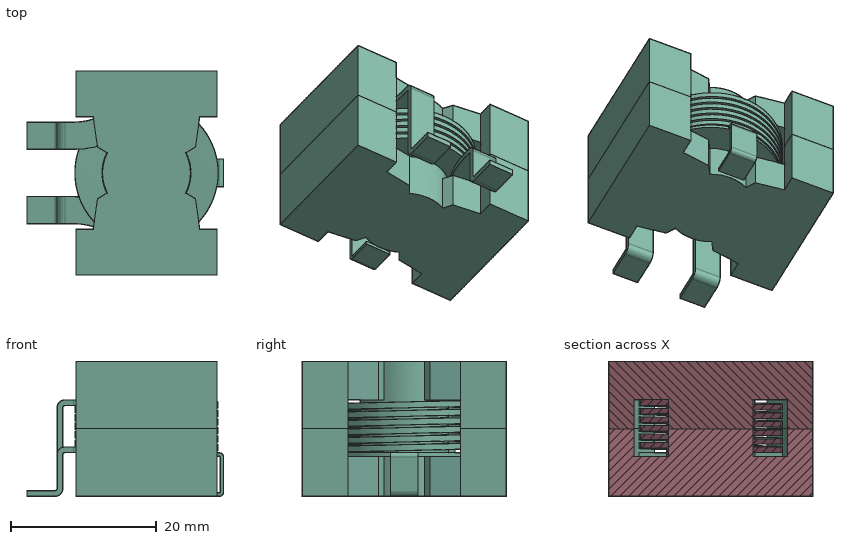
import cadquery as cq
import math


CORE_LENGTH_Y = 28.0
CORE_WIDTH_X = 19.38
CORE_HEIGHT = 18.5
SPLIT_Z = 9.3
LEG_INNER_Y = 7.7
POST_RADIUS = 12.1 / 2
PLATE_HALF_WIDTH = 7.3
PLATE_CORNER = (6.72, 3.55)
POST_CORNER_Y = 2.75
POST_CORNER_X = math.sqrt(POST_RADIUS**2 - POST_CORNER_Y**2)
POCKET_RADIUS = 10.65
WINDOW_BOTTOM_Z = 5.5
WINDOW_TOP_Z = 13.25

CLIP_THICKNESS = 0.5
CLIP_TAB_WIDTH = 3.85
CLIP_TAB_REACH_X = 10.58
CLIP_BEND_INNER_RADIUS = 0.1
CLIP_TOP_Z = WINDOW_BOTTOM_Z + CLIP_THICKNESS

WIRE_WIDTH = 3.75
WIRE_THICKNESS = 0.8
COIL_CLEARANCE = 0.03
COIL_INNER_RADIUS = POST_RADIUS + COIL_CLEARANCE
COIL_MEAN_RADIUS = COIL_INNER_RADIUS + WIRE_WIDTH / 2
COIL_TURNS = 5.5
COIL_BOTTOM_Z = CLIP_TOP_Z
COIL_TOP_Z = WINDOW_TOP_Z
COIL_RISE = COIL_TOP_Z - COIL_BOTTOM_Z - WIRE_THICKNESS

LEAD_OFFSET_Y = 5.1
LEAD_CURVE_START_X = -10.0
LEAD_UPRIGHT_X = -12.25
LEAD_TIP_X = -16.4
LEAD_BEND_INNER_RADIUS = 0.28
FOOT_LENGTH = LEAD_UPRIGHT_X - LEAD_TIP_X
LEAD_CURVE_RADIUS = (LEAD_CURVE_START_X**2 + LEAD_OFFSET_Y**2 - COIL_MEAN_RADIUS**2) / (
    2 * (COIL_MEAN_RADIUS - LEAD_OFFSET_Y)
)


def core_outline():
    """Core seen along Z: two wide legs joined by a waisted plate that ends on the centre post."""
    half_x = CORE_WIDTH_X / 2
    half_y = CORE_LENGTH_Y / 2
    corner_x, corner_y = PLATE_CORNER
    return (
        cq.Workplane("XY")
        .moveTo(-half_x, half_y)
        .lineTo(half_x, half_y)
        .lineTo(half_x, LEG_INNER_Y)
        .lineTo(PLATE_HALF_WIDTH, LEG_INNER_Y)
        .lineTo(corner_x, corner_y)
        .lineTo(POST_CORNER_X, POST_CORNER_Y)
        .threePointArc((POST_RADIUS, 0), (POST_CORNER_X, -POST_CORNER_Y))
        .lineTo(corner_x, -corner_y)
        .lineTo(PLATE_HALF_WIDTH, -LEG_INNER_Y)
        .lineTo(half_x, -LEG_INNER_Y)
        .lineTo(half_x, -half_y)
        .lineTo(-half_x, -half_y)
        .lineTo(-half_x, -LEG_INNER_Y)
        .lineTo(-PLATE_HALF_WIDTH, -LEG_INNER_Y)
        .lineTo(-corner_x, -corner_y)
        .lineTo(-POST_CORNER_X, -POST_CORNER_Y)
        .threePointArc((-POST_RADIUS, 0), (-POST_CORNER_X, POST_CORNER_Y))
        .lineTo(-corner_x, corner_y)
        .lineTo(-PLATE_HALF_WIDTH, LEG_INNER_Y)
        .lineTo(-half_x, LEG_INNER_Y)
        .close()
    )


def core_half(height, plate_thickness):
    """One core half standing on its plate, with the ring-shaped winding window cut around the post."""
    body = core_outline().extrude(height)
    window = (
        cq.Workplane("XY", origin=(0, 0, plate_thickness))
        .circle(POCKET_RADIUS)
        .circle(POST_RADIUS)
        .extrude(height - plate_thickness)
    )
    return body.cut(window)


def ring_sector(center, mean_radius, width, start_deg, end_deg, bottom_z, thickness):
    """Flat strip of the given width that follows an arc about the center point."""

    def polar(radius, angle_deg):
        angle = math.radians(angle_deg)
        return (center[0] + radius * math.cos(angle), center[1] + radius * math.sin(angle))

    inner = mean_radius - width / 2
    outer = mean_radius + width / 2
    middle_deg = (start_deg + end_deg) / 2
    return (
        cq.Workplane("XY", origin=(0, 0, bottom_z))
        .moveTo(*polar(outer, start_deg))
        .threePointArc(polar(outer, middle_deg), polar(outer, end_deg))
        .lineTo(*polar(inner, end_deg))
        .threePointArc(polar(inner, middle_deg), polar(inner, start_deg))
        .close()
        .extrude(thickness)
    )


def lead_straight(top_z):
    """Foot, upright and straight top of a lead, centred on Y = 0."""
    upright_inner_x = LEAD_UPRIGHT_X + WIRE_THICKNESS
    inner = LEAD_BEND_INNER_RADIUS
    outer = inner + WIRE_THICKNESS
    outline = (
        cq.Workplane("XZ", origin=(0, WIRE_WIDTH / 2, 0))
        .moveTo(LEAD_TIP_X, 0)
        .lineTo(upright_inner_x - outer, 0)
        .radiusArc((upright_inner_x, outer), -outer)
        .lineTo(upright_inner_x, top_z - outer)
        .radiusArc((upright_inner_x + inner, top_z - WIRE_THICKNESS), inner)
        .lineTo(LEAD_CURVE_START_X, top_z - WIRE_THICKNESS)
        .lineTo(LEAD_CURVE_START_X, top_z)
        .lineTo(LEAD_UPRIGHT_X + outer, top_z)
        .radiusArc((LEAD_UPRIGHT_X, top_z - outer), -outer)
        .lineTo(LEAD_UPRIGHT_X, outer)
        .radiusArc((LEAD_UPRIGHT_X - inner, WIRE_THICKNESS), inner)
        .lineTo(LEAD_TIP_X, WIRE_THICKNESS)
        .close()
    )
    return outline.extrude(WIRE_WIDTH)


def lead(top_z):
    """Lead on the +Y side, from its foot along an S-curve to the coil turn at X = 0."""
    bottom_z = top_z - WIRE_THICKNESS
    curve_center = (LEAD_CURVE_START_X, LEAD_OFFSET_Y + LEAD_CURVE_RADIUS)
    meeting_deg = math.degrees(math.atan2(curve_center[1], curve_center[0]))
    straight = lead_straight(top_z).translate((0, LEAD_OFFSET_Y, 0))
    curve = ring_sector(
        curve_center, LEAD_CURVE_RADIUS, WIRE_WIDTH, -90, meeting_deg - 180, bottom_z, WIRE_THICKNESS
    )
    flat_turn = ring_sector((0, 0), COIL_MEAN_RADIUS, WIRE_WIDTH, 90, meeting_deg, bottom_z, WIRE_THICKNESS)
    return straight.union(curve).union(flat_turn)


def coil():
    """Right-handed flat-wire winding from the -Y side up to the +Y side, with both leads."""
    helix = cq.Wire.makeHelix(COIL_RISE / COIL_TURNS, COIL_RISE, COIL_MEAN_RADIUS)
    winding = (
        cq.Workplane("XZ")
        .center(COIL_MEAN_RADIUS, 0)
        .rect(WIRE_WIDTH, WIRE_THICKNESS)
        .sweep(cq.Workplane(obj=helix), isFrenet=True)
        .rotate((0, 0, 0), (0, 0, 1), -90)
        .translate((0, 0, COIL_BOTTOM_Z + WIRE_THICKNESS / 2))
    )
    upper_lead = lead(COIL_TOP_Z)
    lower_lead = lead(COIL_BOTTOM_Z + WIRE_THICKNESS).mirror("XZ")
    return winding.union(upper_lead).union(lower_lead)


def clip():
    """Half washer under the coil on the +X side, with a C-shaped tab beside the core."""
    washer = ring_sector((0, 0), COIL_MEAN_RADIUS, WIRE_WIDTH, -90, 90, WINDOW_BOTTOM_Z, CLIP_THICKNESS)
    tab_inner_x = CLIP_TAB_REACH_X - FOOT_LENGTH
    inner_length = FOOT_LENGTH - CLIP_THICKNESS
    inner_height = CLIP_TOP_Z - 2 * CLIP_THICKNESS
    outer_radius = CLIP_BEND_INNER_RADIUS + CLIP_THICKNESS
    opening = (
        cq.Workplane("XY", origin=(tab_inner_x, 0, CLIP_THICKNESS))
        .box(inner_length, CLIP_TAB_WIDTH, inner_height, centered=(False, True, False))
        .edges(">X and |Y")
        .fillet(CLIP_BEND_INNER_RADIUS)
    )
    tab = (
        cq.Workplane("XY", origin=(tab_inner_x, 0, 0))
        .box(FOOT_LENGTH, CLIP_TAB_WIDTH, CLIP_TOP_Z, centered=(False, True, False))
        .edges(">X and |Y")
        .fillet(outer_radius)
        .cut(opening)
    )
    return washer.union(tab)


lower_core = core_half(SPLIT_Z, WINDOW_BOTTOM_Z)
upper_core = (
    core_half(CORE_HEIGHT - SPLIT_Z, CORE_HEIGHT - WINDOW_TOP_Z)
    .rotate((0, 0, 0), (1, 0, 0), 180)
    .translate((0, 0, CORE_HEIGHT))
)
winding_with_leads = coil()
support_clip = clip()

result = cq.Compound.makeCompound(
    [
        lower_core.val(),
        upper_core.val(),
        winding_with_leads.val(),
        support_clip.val(),
    ]
)